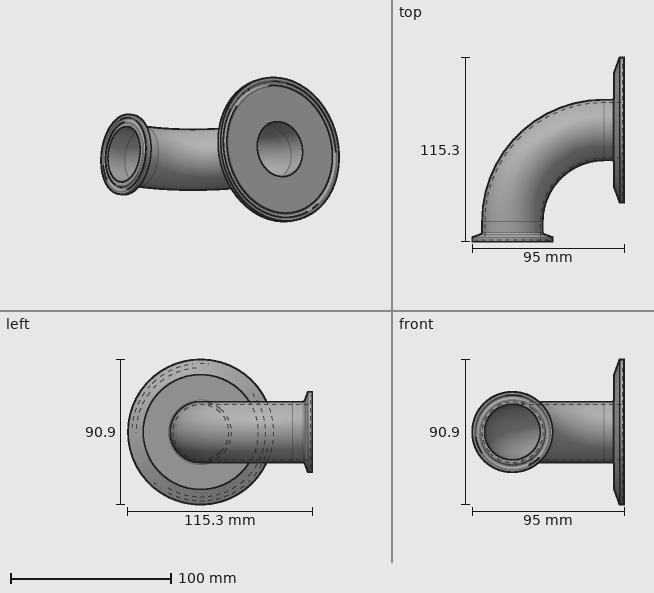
import cadquery as cq
import math

tube_diameter = 38.1
bore_diameter = 34.8
tube_radius = tube_diameter / 2
bore_radius = bore_diameter / 2
bend_radius = 1.5 * tube_diameter
bend_angle = 90

ferrule_length = 12.7
rim_thickness = 2.87
clamp_angle = 20.0
neck_fillet = 1.1

groove_width = 2.8
groove_depth = 1.2
groove_lip_fillet = 0.6

small_flange_diameter = 50.39
small_groove_diameter = 43.6
small_rim_fillet = 0.25

large_flange_diameter = 90.91
large_groove_diameter = 83.5
large_flange_thickness = 6.35

small_face_y = -ferrule_length
large_face_x = bend_radius + ferrule_length

match_tolerance = 1e-3


def cone_height(outer_radius, inner_radius):
    """Axial rise of the clamp cone between two radii."""
    return (outer_radius - inner_radius) * math.tan(math.radians(clamp_angle))


def fillet_circle(body, radius, height, fillet_radius):
    """Round the circular edge of the given radius about the Y axis at y = height."""

    def is_wanted(edge):
        on_level = abs(edge.Center().y - height) < match_tolerance
        return edge.geomType() == "CIRCLE" and on_level and abs(edge.radius() - radius) < match_tolerance

    return body.edges().filter(is_wanted).fillet(fillet_radius)


def gasket_groove(groove_diameter):
    """Ring cutter with an arc section, opening onto the plane y = 0."""
    middle = groove_diameter / 2
    half_width = groove_width / 2
    return (
        cq.Workplane("XY")
        .moveTo(middle - half_width, 0)
        .threePointArc((middle, groove_depth), (middle + half_width, 0))
        .close()
        .revolve(360, (0, 0, 0), (0, 1, 0))
    )


def ferrule(flange_diameter, groove_diameter, flange_thickness=None):
    """Ferrule on the Y axis with its sealing face at y = 0 and its neck toward +Y."""
    flange_radius = flange_diameter / 2
    if flange_thickness is None:
        cone_end_radius = tube_radius
        cone_end = rim_thickness + cone_height(flange_radius, tube_radius)
    else:
        rise = flange_thickness - rim_thickness
        cone_end_radius = flange_radius - rise / math.tan(math.radians(clamp_angle))
        cone_end = flange_thickness

    outline = (
        cq.Workplane("XY")
        .moveTo(bore_radius, 0)
        .lineTo(flange_radius, 0)
        .lineTo(flange_radius, rim_thickness)
        .lineTo(cone_end_radius, cone_end)
    )
    if cone_end_radius > tube_radius:
        outline = outline.lineTo(tube_radius, cone_end)
    body = (
        outline.lineTo(tube_radius, ferrule_length)
        .lineTo(bore_radius, ferrule_length)
        .close()
        .revolve(360, (0, 0, 0), (0, 1, 0))
    )

    body = fillet_circle(body, tube_radius, cone_end, neck_fillet)
    body = body.cut(gasket_groove(groove_diameter))
    for side in (-1, 1):
        lip_radius = groove_diameter / 2 + side * groove_width / 2
        body = fillet_circle(body, lip_radius, 0, groove_lip_fillet)
    return body


def elbow():
    """Quarter-turn tube from the small ferrule at the origin to the large one."""
    return (
        cq.Workplane("XZ")
        .circle(tube_radius)
        .circle(bore_radius)
        .revolve(bend_angle, (bend_radius, 1, 0), (bend_radius, 0, 0))
    )


small_ferrule = ferrule(small_flange_diameter, small_groove_diameter)
for rim_edge_y in (0, rim_thickness):
    small_ferrule = fillet_circle(small_ferrule, small_flange_diameter / 2, rim_edge_y, small_rim_fillet)
small_ferrule = small_ferrule.translate((0, small_face_y, 0))

large_ferrule = (
    ferrule(large_flange_diameter, large_groove_diameter, large_flange_thickness)
    .rotate((0, 0, 0), (0, 0, 1), bend_angle)
    .translate((large_face_x, bend_radius, 0))
)

result = elbow().union(small_ferrule).union(large_ferrule)